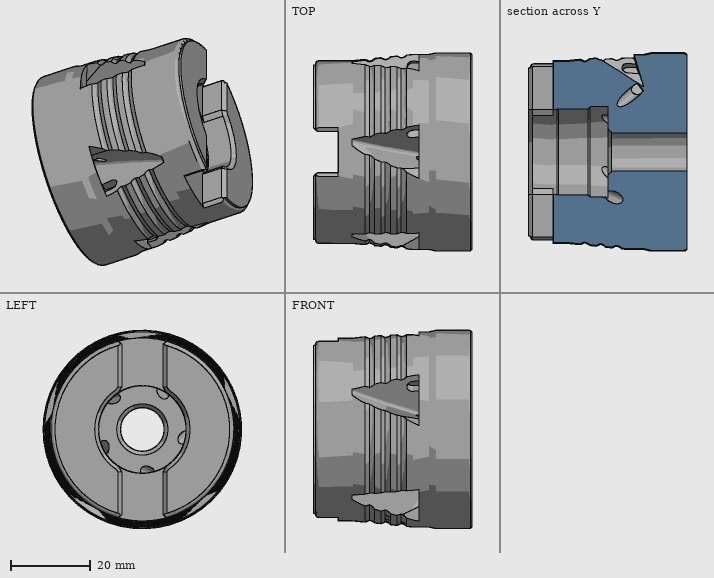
import cadquery as cq
import math

LENGTH = 40.0
RIM_RADIUS = 25.0
NOSE_RADIUS = 23.05
CONE_RADIUS = 24.6

CONE_START = 10.05
CONE_END = 25.15
SHOULDER_START = 29.2
SHOULDER_END = 30.9

FACE_RADIUS = 22.0
FACE_STEP = 0.55
NOSE_ROUND = 1.0

RIM_BEVEL_OUTER = (0.35, 0.1)
RIM_BEVEL_INNER = (0.45, 0.45)

GROOVE_COUNT = 3
GROOVE_FIRST = 13.05
GROOVE_PITCH = 4.0
GROOVE_WIDTH = 2.4
GROOVE_FLANK = 1.05
GROOVE_DEPTH = 0.55
GROOVE_MIDDLE_DEPTH = 0.44

BORE_RADIUS = 11.0
BORE_STEP = 7.2
BORE_STEP_LENGTH = 0.4
BORE_REAR_RADIUS = 11.15
UNDERCUT_START = 15.05
UNDERCUT_DEPTH = 0.5
BORE_DEPTH = 20.0
HOLE_RADIUS = 5.45
EDGE_CHAMFER = 1.0

SLOT_WIDTH = 10.35
SLOT_DEPTH = 6.25

POCKET_COUNT = 5
POCKET_STEP = 360.0 / POCKET_COUNT
POCKET_FIRST_ANGLE = 11.1
POCKET_ROOT_RADIUS = 0.75
POCKET_FACE_TILT = 30.8
POCKET_CLEAR = 30.0
CAP_RISE = 0.5
POCKET_START = 9.75
POCKET_FACE_DRIFT = 0.16
POCKET_FACE_OFFSET = 0.05
POCKET_SECTIONS = [
    (POCKET_START, 22.35, (-4.5, 25.0), (-9.0, 27.6)),
    (18.5, 17.6, (-7.3, 25.0), (-12.0, 30.0)),
    (32.0, 11.0, (-6.05, 17.4), (-16.95, 25.15)),
]

WALL_LIP = 26.6
WALL_APEX = 34.0

DUCT_RADIUS = 1.4
DUCT_OUTLET = (28.0, -3.8, 15.85)
DUCT_INLET = (BORE_DEPTH, -6.3, 8.8)
RECESS_RADIUS = 1.5
RECESS_START = (25.1, 0.25, 22.3)
RECESS_LENGTH = 4.0
RECESS_RUN = 2.75
RECESS_TILT = 25.0


def cone_radius(x):
    """Outer radius of the conical stretch at station x."""
    slope = (CONE_RADIUS - NOSE_RADIUS) / (CONE_END - CONE_START)
    return NOSE_RADIUS + slope * (x - CONE_START)


def add_groove(outline, start):
    """Append one groove: straight flank down, then a concave arc back up."""
    end = start + GROOVE_WIDTH
    low = start + GROOVE_FLANK
    low_radius = cone_radius(low) - GROOVE_DEPTH
    middle = (low + end) / 2
    middle_radius = cone_radius(middle) - GROOVE_MIDDLE_DEPTH
    return (
        outline.lineTo(start, cone_radius(start))
        .lineTo(low, low_radius)
        .threePointArc((middle, middle_radius), (end, cone_radius(end)))
    )


def make_turned_body():
    """Revolve the outer outline with its nose, grooves, shoulder and rim."""
    arc_drop = NOSE_ROUND * (1 - math.sqrt(0.5))
    outline = (
        cq.Workplane("XY")
        .lineTo(0, FACE_RADIUS)
        .lineTo(FACE_STEP, FACE_RADIUS)
        .lineTo(FACE_STEP, NOSE_RADIUS - NOSE_ROUND)
        .threePointArc(
            (FACE_STEP + arc_drop, NOSE_RADIUS - arc_drop),
            (FACE_STEP + NOSE_ROUND, NOSE_RADIUS),
        )
        .lineTo(CONE_START, NOSE_RADIUS)
    )
    for index in range(GROOVE_COUNT):
        outline = add_groove(outline, GROOVE_FIRST + index * GROOVE_PITCH)
    bevel_start = LENGTH - RIM_BEVEL_OUTER[0] - RIM_BEVEL_INNER[0]
    bevel_bend = LENGTH - RIM_BEVEL_INNER[0]
    bend_radius = RIM_RADIUS - RIM_BEVEL_OUTER[1]
    outline = (
        outline.lineTo(CONE_END, CONE_RADIUS)
        .lineTo(SHOULDER_START, CONE_RADIUS)
        .lineTo(SHOULDER_END, RIM_RADIUS)
        .lineTo(bevel_start, RIM_RADIUS)
        .lineTo(bevel_bend, bend_radius)
        .lineTo(LENGTH, bend_radius - RIM_BEVEL_INNER[1])
        .lineTo(LENGTH, 0)
        .close()
    )
    return outline.revolve(360, (0, 0, 0), (1, 0, 0))


def make_bore():
    """Revolve the stepped bore with its undercut and the through hole."""
    undercut_radius = BORE_REAR_RADIUS + UNDERCUT_DEPTH
    return (
        cq.Workplane("XY")
        .lineTo(0, BORE_RADIUS)
        .lineTo(BORE_STEP, BORE_RADIUS)
        .lineTo(BORE_STEP + BORE_STEP_LENGTH, BORE_REAR_RADIUS)
        .lineTo(UNDERCUT_START, BORE_REAR_RADIUS)
        .lineTo(UNDERCUT_START + UNDERCUT_DEPTH, undercut_radius)
        .lineTo(BORE_DEPTH, undercut_radius)
        .lineTo(BORE_DEPTH, HOLE_RADIUS + EDGE_CHAMFER)
        .lineTo(BORE_DEPTH + EDGE_CHAMFER, HOLE_RADIUS)
        .lineTo(LENGTH, HOLE_RADIUS)
        .lineTo(LENGTH, 0)
        .close()
        .revolve(360, (0, 0, 0), (1, 0, 0))
    )


def make_jaws():
    """Make the two front jaws, chamfered along the slot walls and the bore."""
    jaws = (
        cq.Workplane("YZ")
        .circle(NOSE_RADIUS)
        .circle(BORE_RADIUS)
        .extrude(SLOT_DEPTH)
        .cut(cq.Workplane("YZ").rect(SLOT_WIDTH, 2 * RIM_RADIUS).extrude(SLOT_DEPTH))
    )
    axial_edges = jaws.edges("|X")
    wall_edges = jaws.edges("<X and |Z")
    bore_edges = jaws.faces("<X").edges("%CIRCLE").edges(cq.selectors.RadiusNthSelector(0))
    sharp_edges = axial_edges.vals() + wall_edges.vals() + bore_edges.vals()
    return jaws.newObject(sharp_edges).chamfer(EDGE_CHAMFER)


def along(point, direction, distance):
    """Point reached from a start point along a unit direction."""
    return (point[0] + distance * direction[0], point[1] + distance * direction[1])


def root_vertex(x, height):
    """Sharp V point at station x, placed so that the pocket face stays flat."""
    fall = (height - POCKET_SECTIONS[0][1]) * math.tan(math.radians(POCKET_FACE_TILT))
    return (POCKET_FACE_OFFSET + fall + POCKET_FACE_DRIFT * (x - POCKET_START), height)


def pocket_section(x, root_height, bend, end):
    """Closed V section of a pocket at station x, with a rounded root."""
    tilt = math.radians(POCKET_FACE_TILT)
    face = (math.sin(tilt), math.cos(tilt))
    vertex = root_vertex(x, root_height)
    flank_length = math.dist(vertex, bend)
    flank = ((bend[0] - vertex[0]) / flank_length, (bend[1] - vertex[1]) / flank_length)
    half_angle = math.acos(face[0] * flank[0] + face[1] * flank[1]) / 2
    tangent = POCKET_ROOT_RADIUS / math.tan(half_angle)
    depth = POCKET_ROOT_RADIUS / math.sin(half_angle) - POCKET_ROOT_RADIUS
    middle_length = 2 * math.cos(half_angle)
    middle = ((face[0] + flank[0]) / middle_length, (face[1] + flank[1]) / middle_length)
    face_end = along(vertex, face, (POCKET_CLEAR - vertex[1]) / face[1])
    return (
        cq.Workplane("YZ", origin=(x, 0, 0))
        .moveTo(*face_end)
        .lineTo(*along(vertex, face, tangent))
        .threePointArc(along(vertex, middle, depth), along(vertex, flank, tangent))
        .lineTo(*bend)
        .lineTo(*end)
        .lineTo(end[0], POCKET_CLEAR + CAP_RISE)
        .close()
        .val()
    )


def make_pocket():
    """Loft one pocket at the +Z side, bounded by its end wall, with duct and recess."""
    wires = [pocket_section(*section) for section in POCKET_SECTIONS]
    limit = (
        cq.Workplane("XY")
        .lineTo(WALL_APEX, 0)
        .lineTo(WALL_LIP, CONE_RADIUS)
        .lineTo(WALL_LIP, 2 * POCKET_CLEAR)
        .lineTo(0, 2 * POCKET_CLEAR)
        .close()
        .revolve(360, (0, 0, 0), (1, 0, 0))
    )
    pocket = cq.Workplane(cq.Solid.makeLoft(wires, True)).intersect(limit)
    outlet = cq.Vector(*DUCT_OUTLET)
    bore_path = cq.Vector(*DUCT_INLET) - outlet
    length = bore_path.Length + DUCT_RADIUS
    duct = cq.Solid.makeCylinder(DUCT_RADIUS, length, outlet, bore_path)
    tilt_axis_end = (RECESS_START[0] + 0.5, *RECESS_START[1:])
    recess = (
        cq.Workplane("XZ", origin=RECESS_START)
        .moveTo(RECESS_RUN, RECESS_RADIUS)
        .lineTo(0, RECESS_RADIUS)
        .threePointArc((-RECESS_RADIUS, 0), (0, -RECESS_RADIUS))
        .lineTo(RECESS_RUN, -RECESS_RADIUS)
        .close()
        .extrude(-RECESS_LENGTH)
        .rotate(RECESS_START, tilt_axis_end, -RECESS_TILT)
    )
    return pocket.union(cq.Workplane(duct)).union(recess.intersect(limit))


turned = make_turned_body()
nose_blank = cq.Workplane("YZ").circle(NOSE_RADIUS).extrude(SLOT_DEPTH)
slot_cutter = nose_blank.cut(make_jaws())
result = turned.cut(slot_cutter).cut(make_bore())

pocket = make_pocket()
for index in range(POCKET_COUNT):
    angle = POCKET_FIRST_ANGLE - 90.0 + index * POCKET_STEP
    result = result.cut(pocket.rotate((0, 0, 0), (1, 0, 0), angle))